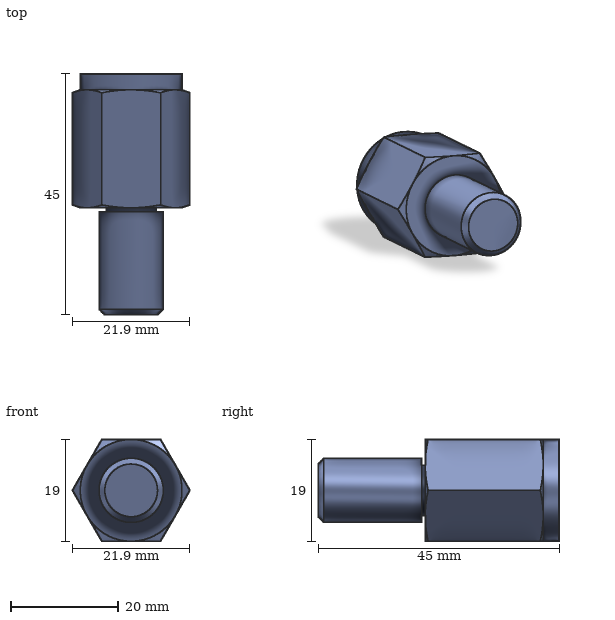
import cadquery as cq
import math

across_flats = 19.0
across_corners = across_flats / math.cos(math.radians(30))
body_length = 25.0
collar_length = 3.0
hex_length = body_length - collar_length
corner_chamfer_angle = 20.0

stud_diameter = 12.0
stud_length = 20.0
groove_diameter = 9.4
groove_length = 0.7
tip_diameter = 9.85
tip_chamfer = (stud_diameter - tip_diameter) / 2


def cylinder(diameter, start, end):
    """Cylinder on the Y axis between two Y positions."""
    return cq.Workplane("XZ", origin=(0, end, 0)).circle(diameter / 2).extrude(end - start)


def make_hexagon():
    """Hexagonal prism with its corners turned down conically at both ends."""
    prism = (
        cq.Workplane("XZ", origin=(0, hex_length, 0))
        .polygon(6, across_corners)
        .extrude(hex_length)
    )
    flat_radius = across_flats / 2
    corner_radius = across_corners / 2
    corner_drop = (corner_radius - flat_radius) * math.tan(math.radians(corner_chamfer_angle))
    turned_envelope = (
        cq.Workplane("XY")
        .moveTo(0, 0)
        .lineTo(flat_radius, 0)
        .lineTo(corner_radius, corner_drop)
        .lineTo(corner_radius, hex_length - corner_drop)
        .lineTo(flat_radius, hex_length)
        .lineTo(0, hex_length)
        .close()
        .revolve(360, (0, 0, 0), (0, 1, 0))
    )
    return prism.intersect(turned_envelope)


def make_stud():
    """Stud with a chamfered tip, joined to the body through the relief groove."""
    shank = cylinder(stud_diameter, -stud_length, -groove_length).faces("<Y").chamfer(tip_chamfer)
    groove = cylinder(groove_diameter, -groove_length, 0)
    return shank.union(groove)


collar = cylinder(across_flats, hex_length, body_length)
result = make_hexagon().union(collar).union(make_stud())